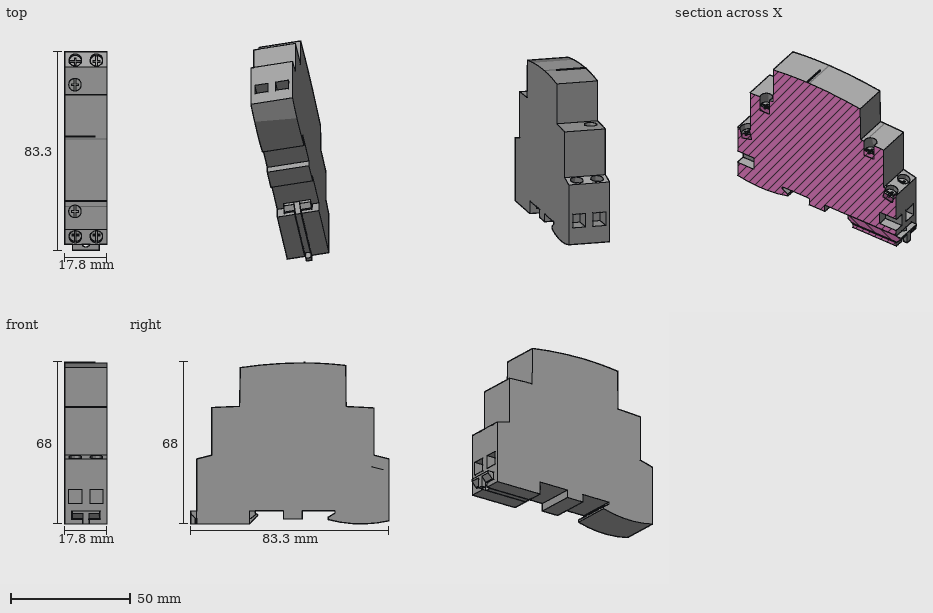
import cadquery as cq
import math

WIDTH = 17.8
DEPTH = 80.8
HALF_WIDTH = WIDTH / 2
HALF_DEPTH = DEPTH / 2

LEDGE_DEPTH = 6.3
LEDGE_LOW_Z = 27.3
LEDGE_HIGH_Z = 28.9
LEDGE_SLOPE = (LEDGE_HIGH_Z - LEDGE_LOW_Z) / LEDGE_DEPTH
SHOULDER_Y = HALF_DEPTH - LEDGE_DEPTH
SHOULDER_TOP_Z = 49.3
REAR_SHOULDER_EDGE_Z = 48.7
FRONT_SHOULDER_EDGE_Z = 48.9
FRONT_SHOULDER_FLAT = 2.1
SHOULDER_ARC_RADIUS = 499.8
CROWN_HALF_DEPTH = 22.4
CROWN_REAR_DRAFT = 0.2
CROWN_FRONT_DRAFT = 0.3
CROWN_REAR_Z = 66.55
CROWN_FRONT_Z = 65.6
CROWN_SEAM_Y = 3.75
CROWN_SEAM_Z = 67.6
CROWN_FRONT_RADIUS = 183.3
CROWN_REAR_RADIUS = 158.3

RIB_LENGTH = 12.75
RIB_THICKNESS = 0.4
RIB_Y = 4.8
RIB_TOP_Z = 68.0
RIB_ROOT_DEPTH = 0.8

RAIL_SEAT_Z = 5.5
FOOT_REAR_Z = 1.3
FOOT_LOWEST_Y = 29.15
HOOK_TIP_Y = 14.8
HOOK_TIP_LOW_Z = 1.8
HOOK_TIP_HIGH_Z = 2.9
HOOK_ROOT_Y = 17.6
HOOK_ROOT_Z = 4.6
BLOCK_HALF_DEPTH = 4.0
BLOCK_BOTTOM_Z = 2.1
FRONT_FOOT_Y = -18.2

TERMINAL_X = 4.4
OPENING_WIDTH = 5.6
OPENING_HEIGHT = 5.8
OPENING_CENTER_Z = 11.5
OPENING_DEPTH = 8.3

SCREW_DIAMETER = 5.25
SCREW_HEIGHT = 2.5
SLOT_WIDTH = 0.75
SLOT_DEPTH = 0.8
CROSS_BAR_LENGTH = 3.0
TERMINAL_RECESS = 2.5
TERMINAL_TILT = math.degrees(math.atan(LEDGE_SLOPE))
FRONT_TERMINAL_INSET = 3.2
REAR_TERMINAL_INSET = 3.5
SHOULDER_SCREW_X = -4.6
SHOULDER_SCREW_Y = 26.6
SHOULDER_RECESS = 5.0
HOLE_CLEARANCE_ABOVE = 1.7

CLIP_FRONT_Y = -42.9
CLIP_FLANGE_WIDTH = 11.4
CLIP_FLANGE_BOTTOM_Z = 2.25
CLIP_FLANGE_EDGE_Z = 4.5
CLIP_BEVEL_Y = -40.8
CLIP_FLANGE_REAR_Y = -15.75
CLIP_FLANGE_REAR_EDGE_Z = 3.8
CLIP_FLANGE_REAR_BEVEL_Y = -17.75
CLIP_STEM_WIDTH = 2.4
CLIP_HOOK_TIP_Y = -14.6
CLIP_HOOK_TIP_Z = 3.75
CLIP_HOOK_TOP_Z = 4.7
CLIP_HOLE_RADIUS = 1.5
CLIP_HOLE_Y = -40.0
CLIP_GAP = 0.25


def extrude_across(outline, width):
    """Extrude a closed YZ outline along X, centred on X = 0."""
    return outline.extrude(width / 2, both=True)


def box_between(x_range, y_range, z_range):
    """Box that spans the given (low, high) ranges."""
    (x0, x1), (y0, y1), (z0, z1) = x_range, y_range, z_range
    return cq.Workplane("XY").box(x1 - x0, y1 - y0, z1 - z0, centered=False).translate((x0, y0, z0))


def housing_block():
    """Stepped side outline of the housing, extruded to its full width."""
    outline = (
        cq.Workplane("YZ")
        .moveTo(HALF_DEPTH, FOOT_REAR_Z)
        .lineTo(HALF_DEPTH, LEDGE_LOW_Z)
        .lineTo(SHOULDER_Y, LEDGE_HIGH_Z)
        .lineTo(SHOULDER_Y, REAR_SHOULDER_EDGE_Z)
        .radiusArc((CROWN_HALF_DEPTH, SHOULDER_TOP_Z), -SHOULDER_ARC_RADIUS)
        .lineTo(CROWN_HALF_DEPTH - CROWN_REAR_DRAFT, CROWN_REAR_Z)
        .radiusArc((CROWN_SEAM_Y, CROWN_SEAM_Z), -CROWN_REAR_RADIUS)
        .radiusArc((-CROWN_HALF_DEPTH + CROWN_FRONT_DRAFT, CROWN_FRONT_Z), -CROWN_FRONT_RADIUS)
        .lineTo(-CROWN_HALF_DEPTH, SHOULDER_TOP_Z)
        .lineTo(-CROWN_HALF_DEPTH - FRONT_SHOULDER_FLAT, SHOULDER_TOP_Z)
        .radiusArc((-SHOULDER_Y, FRONT_SHOULDER_EDGE_Z), -SHOULDER_ARC_RADIUS)
        .lineTo(-SHOULDER_Y, LEDGE_HIGH_Z)
        .lineTo(-HALF_DEPTH, LEDGE_LOW_Z)
        .lineTo(-HALF_DEPTH, 0)
        .lineTo(FRONT_FOOT_Y, 0)
        .lineTo(FRONT_FOOT_Y, RAIL_SEAT_Z)
        .lineTo(-BLOCK_HALF_DEPTH, RAIL_SEAT_Z)
        .lineTo(-BLOCK_HALF_DEPTH, BLOCK_BOTTOM_Z)
        .lineTo(BLOCK_HALF_DEPTH, BLOCK_BOTTOM_Z)
        .lineTo(BLOCK_HALF_DEPTH, RAIL_SEAT_Z)
        .lineTo(HOOK_ROOT_Y, RAIL_SEAT_Z)
        .lineTo(HOOK_ROOT_Y, HOOK_ROOT_Z)
        .lineTo(HOOK_TIP_Y, HOOK_TIP_HIGH_Z)
        .lineTo(HOOK_TIP_Y, HOOK_TIP_LOW_Z)
        .threePointArc((FOOT_LOWEST_Y, 0), (HALF_DEPTH, FOOT_REAR_Z))
        .close()
    )
    return extrude_across(outline, WIDTH)


def marker_rib():
    """Thin rib that stands slightly above the crown, from the -X side inwards."""
    return box_between(
        (-HALF_WIDTH, -HALF_WIDTH + RIB_LENGTH),
        (RIB_Y - RIB_THICKNESS / 2, RIB_Y + RIB_THICKNESS / 2),
        (RIB_TOP_Z - RIB_ROOT_DEPTH, RIB_TOP_Z),
    )


def wire_openings():
    """Rectangular wire openings in both end faces, below the terminal screws."""
    cutters = cq.Workplane("XY")
    for x in (-TERMINAL_X, TERMINAL_X):
        for end in (-1, 1):
            cutters = cutters.add(
                cq.Workplane("XY")
                .box(OPENING_WIDTH, OPENING_DEPTH, OPENING_HEIGHT)
                .translate((x, end * (HALF_DEPTH - OPENING_DEPTH / 2), OPENING_CENTER_Z))
            )
    return cutters.combine()


def screw():
    """Screw with its head face on Z = 0: a full slot along Y and a shorter cross bar along X."""
    body = cq.Workplane("XY").circle(SCREW_DIAMETER / 2).extrude(-SCREW_HEIGHT)
    slot = cq.Workplane("XY").rect(SLOT_WIDTH, 2 * SCREW_DIAMETER).extrude(-SLOT_DEPTH)
    cross_bar = cq.Workplane("XY").rect(CROSS_BAR_LENGTH, SLOT_WIDTH).extrude(-SLOT_DEPTH)
    return body.cut(slot).cut(cross_bar)


def screw_hole(recess):
    """Hole that fits a screw and continues outwards past the surface above its head."""
    return (
        cq.Workplane("XY")
        .workplane(offset=-SCREW_HEIGHT)
        .circle(SCREW_DIAMETER / 2)
        .extrude(SCREW_HEIGHT + recess + HOLE_CLEARANCE_ABOVE)
    )


def at_terminal(shape, x, end, turn=0):
    """Move a screw or hole to the terminal at x, square to the ledge at end -1 (front) or +1 (rear)."""
    inset = REAR_TERMINAL_INSET if end == 1 else FRONT_TERMINAL_INSET
    surface_z = LEDGE_LOW_Z + inset * LEDGE_SLOPE
    return (
        shape.rotate((0, 0, 0), (0, 0, 1), turn)
        .translate((0, 0, -TERMINAL_RECESS))
        .rotate((0, 0, 0), (1, 0, 0), -end * TERMINAL_TILT)
        .translate((x, end * (HALF_DEPTH - inset), surface_z))
    )


def at_shoulder(shape, end):
    """Move a screw or hole to the upright shoulder position at end -1 (front) or +1 (rear)."""
    return shape.translate((SHOULDER_SCREW_X, end * SHOULDER_SCREW_Y, SHOULDER_TOP_Z - SHOULDER_RECESS))


def clip_flange():
    """Wide upper part of the clip, bevelled underneath at both ends."""
    outline = cq.Workplane("YZ").polyline(
        [
            (CLIP_FRONT_Y, RAIL_SEAT_Z),
            (CLIP_FRONT_Y, CLIP_FLANGE_EDGE_Z),
            (CLIP_BEVEL_Y, CLIP_FLANGE_BOTTOM_Z),
            (CLIP_FLANGE_REAR_BEVEL_Y, CLIP_FLANGE_BOTTOM_Z),
            (CLIP_FLANGE_REAR_Y, CLIP_FLANGE_REAR_EDGE_Z),
            (CLIP_FLANGE_REAR_Y, RAIL_SEAT_Z),
        ]
    )
    return extrude_across(outline.close(), CLIP_FLANGE_WIDTH)


def clip_stem():
    """Narrow lower part of the clip: rail hook at the rear, grip at the front."""
    side = cq.Workplane("YZ").polyline(
        [
            (CLIP_FRONT_Y, RAIL_SEAT_Z),
            (CLIP_FRONT_Y, 0),
            (FRONT_FOOT_Y, 0),
            (CLIP_HOOK_TIP_Y, CLIP_HOOK_TIP_Z),
            (CLIP_FLANGE_REAR_Y, CLIP_HOOK_TOP_Z),
            (CLIP_FLANGE_REAR_Y, RAIL_SEAT_Z),
        ]
    )
    return extrude_across(side.close(), CLIP_STEM_WIDTH)


def clip_body():
    """Clip with its upright hole through flange and stem at the front face of the housing."""
    hole = cq.Workplane("XY").center(0, CLIP_HOLE_Y).circle(CLIP_HOLE_RADIUS).extrude(RAIL_SEAT_Z)
    return clip_flange().union(clip_stem()).cut(hole)


def clip_channel():
    """T-shaped channel through the front foot, with a gap at the sides of the clip and below its flange."""
    flange_half = CLIP_FLANGE_WIDTH / 2 + CLIP_GAP
    stem_half = CLIP_STEM_WIDTH / 2 + CLIP_GAP
    step_z = CLIP_FLANGE_BOTTOM_Z - CLIP_GAP
    run = (-HALF_DEPTH, FRONT_FOOT_Y)
    flange_space = box_between((-flange_half, flange_half), run, (step_z, RAIL_SEAT_Z))
    return flange_space.union(box_between((-stem_half, stem_half), run, (0, step_z)))


housing = housing_block().union(marker_rib()).cut(wire_openings()).cut(clip_channel())

terminal_screws = []
for end in (-1, 1):
    for x in (-TERMINAL_X, TERMINAL_X):
        is_turned = end == 1 and x < 0
        terminal_screws.append(at_terminal(screw(), x, end, 90 if is_turned else 0))
        housing = housing.cut(at_terminal(screw_hole(TERMINAL_RECESS), x, end))

shoulder_screws = []
for end in (-1, 1):
    shoulder_screws.append(at_shoulder(screw(), end))
    housing = housing.cut(at_shoulder(screw_hole(SHOULDER_RECESS), end))

clip = clip_body()

screws = terminal_screws + shoulder_screws
result = cq.Compound.makeCompound([housing.val(), clip.val(), *[s.val() for s in screws]])